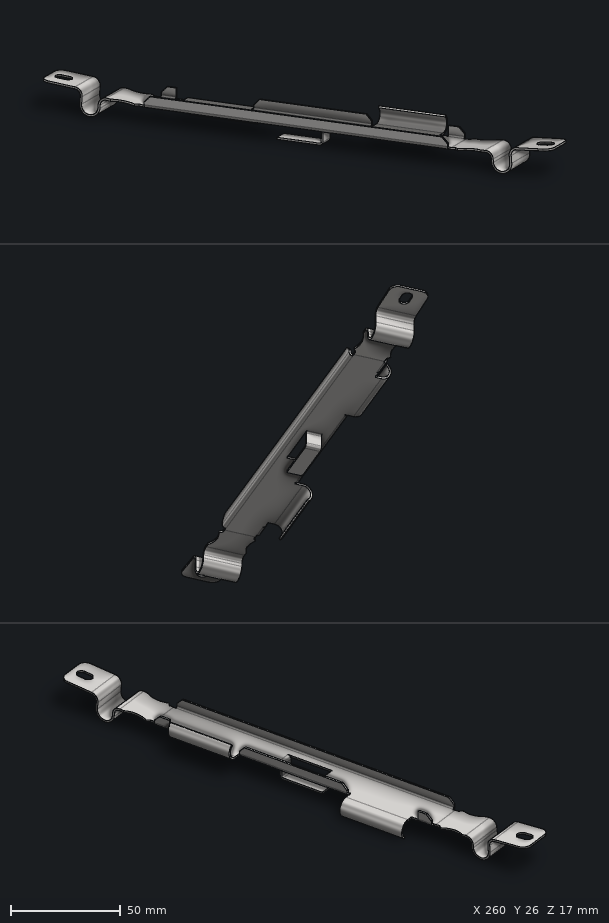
import cadquery as cq
import math

length = 260.0
depth = 26.0
height = 17.0
width = 19.0
sheet = 1.0
half_width = width / 2
half_sheet = sheet / 2
bend_outer = 1.8
bend_inner = bend_outer - sheet
flat_half_width = half_width - bend_outer

fold_x = 78.5
flange_half_length = 77.2
flange_top = 5.5
flange_chamfer = 2.9

clip_radius = 5.0
clip_reach = depth - width
clip_height = height / 2
up_clip = (30.7, 64.7)
down_clip = (-65.5, -31.0)
relief = 4.2
middle_gap = 0.8
relief_y = 8.5

window_left = -12.5
window_right = 12.0
window_width = 7.5
tab_bottom = -clip_height

arm_tilt = 4.5
arm_step = 2.0
inner_pad_length = 18.0
arm_bend = 3.5
trough_radius = 4.7
trough_center_z = -5.0
tip_corner = 4.2
slot_length = 8.3
slot_width = 5.0
slot_x = 123.0
neck_start = (3.6, 9.0)
neck_middle = (11.0, 7.8)
neck_end = (15.9, half_width)
notch_length = 2.0


def box(x_range, y_range, z_range):
    size = [high - low for low, high in (x_range, y_range, z_range)]
    return cq.Workplane("XY").box(*size, centered=False).translate((x_range[0], y_range[0], z_range[0]))


def edge_flange(x_start, x_end, chamfer_start, chamfer_end):
    """Upturned flange along the +Y edge; its ends may slope back to the top."""
    profile = (
        cq.Workplane("YZ")
        .moveTo(flat_half_width, -half_sheet)
        .radiusArc((half_width, bend_outer - half_sheet), -bend_outer)
        .lineTo(half_width, flange_top)
        .lineTo(half_width - sheet, flange_top)
        .lineTo(half_width - sheet, bend_outer - half_sheet)
        .radiusArc((flat_half_width, half_sheet), bend_inner)
        .close()
        .extrude(x_end - x_start)
        .translate((x_start, 0, 0))
    )
    slope_bottom = flange_top - flange_chamfer
    outline = (
        cq.Workplane("XZ")
        .moveTo(x_start, -half_sheet)
        .lineTo(x_end, -half_sheet)
        .lineTo(x_end, slope_bottom)
        .lineTo(x_end - chamfer_end, flange_top)
        .lineTo(x_start + chamfer_start, flange_top)
        .lineTo(x_start, slope_bottom)
        .close()
        .extrude(width, both=True)
    )
    return profile.intersect(outline)


def curled_clip(x_start, x_end):
    """Clip that leaves the rear edge flat and curls upward around a circle."""
    center_y = half_width + clip_reach - clip_radius
    center_z = clip_radius - half_sheet
    inner_radius = clip_radius - sheet
    tip_angle = math.degrees(math.asin((clip_height - center_z) / clip_radius))

    def on_curl(radius, degrees):
        angle = math.radians(degrees)
        return center_y + radius * math.cos(angle), center_z + radius * math.sin(angle)

    return (
        cq.Workplane("YZ")
        .moveTo(0, -half_sheet)
        .lineTo(center_y, -half_sheet)
        .threePointArc(on_curl(clip_radius, 0), on_curl(clip_radius, tip_angle))
        .lineTo(*on_curl(inner_radius, tip_angle))
        .threePointArc(on_curl(inner_radius, 0), on_curl(inner_radius, -90))
        .lineTo(0, half_sheet)
        .close()
        .extrude(x_end - x_start)
        .translate((x_start, 0, 0))
    )


def window_tab():
    """Tab bent down at the right end of the window, then back under it."""
    wall_right = window_right - bend_inner
    wall_left = wall_right - sheet
    top_bend_z = half_sheet - bend_outer
    bottom_bend_z = tab_bottom + bend_outer
    return (
        cq.Workplane("XZ")
        .moveTo(window_right + sheet, half_sheet)
        .lineTo(wall_left + bend_outer, half_sheet)
        .radiusArc((wall_left, top_bend_z), -bend_outer)
        .lineTo(wall_left, bottom_bend_z)
        .radiusArc((wall_left - bend_inner, tab_bottom + sheet), bend_inner)
        .lineTo(window_left, tab_bottom + sheet)
        .lineTo(window_left, tab_bottom)
        .lineTo(wall_right - bend_outer, tab_bottom)
        .radiusArc((wall_right, bottom_bend_z), -bend_outer)
        .lineTo(wall_right, top_bend_z)
        .radiusArc((window_right, -half_sheet), bend_inner)
        .lineTo(window_right + sheet, -half_sheet)
        .close()
        .extrude(window_width / 2, both=True)
    )


def arm_strip(reach):
    """Full-width bent strip: inner pad, U-shaped trough, raised outer pad."""
    near_wall = inner_pad_length + arm_bend
    trough_x = near_wall + trough_radius
    far_wall = trough_x + trough_radius
    diagonal = arm_bend * math.cos(math.radians(45))
    far_bend_x = far_wall + arm_bend
    far_bend_z = arm_step - arm_bend
    return (
        cq.Workplane("XZ")
        .moveTo(0, 0)
        .lineTo(inner_pad_length, 0)
        .threePointArc((inner_pad_length + diagonal, diagonal - arm_bend), (near_wall, -arm_bend))
        .lineTo(near_wall, trough_center_z)
        .threePointArc((trough_x, trough_center_z - trough_radius), (far_wall, trough_center_z))
        .lineTo(far_wall, far_bend_z)
        .threePointArc((far_bend_x - diagonal, far_bend_z + diagonal), (far_bend_x, arm_step))
        .lineTo(reach + sheet, arm_step)
        .offset2D(half_sheet)
        .extrude(half_width, both=True)
    )


def arm_outline(reach):
    """Plan shape of the arm: notch at the fold, waisted neck, rounded tip."""
    upper_edge = (
        cq.Workplane("XY")
        .moveTo(-sheet, 0)
        .lineTo(-sheet, flat_half_width)
        .lineTo(notch_length, flat_half_width)
        .lineTo(*neck_start)
        .threePointArc(neck_middle, neck_end)
        .lineTo(reach - tip_corner, half_width)
        .radiusArc((reach, half_width - tip_corner), tip_corner)
        .lineTo(reach, 0)
        .close()
        .extrude(length, both=True)
    )
    return upper_edge.union(upper_edge.mirror("XZ"))


def right_arm():
    tilt = math.radians(arm_tilt)
    tip_drop = (arm_step - half_sheet) * math.sin(tilt)
    reach = (length / 2 - fold_x + tip_drop) / math.cos(tilt)
    slot = (
        cq.Workplane("XY")
        .center(slot_x - fold_x, 0)
        .slot2D(slot_length, slot_width)
        .extrude(length, both=True)
    )
    arm = arm_strip(reach).intersect(arm_outline(reach)).cut(slot)
    return arm.rotate((0, 0, 0), (0, 1, 0), -arm_tilt).translate((fold_x, 0, 0))


sheet_z = (-half_sheet, half_sheet)
floor = box((-fold_x, fold_x), (-flat_half_width, flat_half_width), sheet_z)
window = box((window_left, window_right), (-window_width / 2, window_width / 2), sheet_z)
result = floor.cut(window).union(window_tab())

front_flange = edge_flange(-flange_half_length, flange_half_length, flange_chamfer, flange_chamfer)
result = result.union(front_flange.mirror("XZ"))

left_flange_end = down_clip[0] - relief
right_flange_start = up_clip[1] + relief
result = result.union(edge_flange(-flange_half_length, left_flange_end, flange_chamfer, 0))
result = result.union(
    edge_flange(down_clip[1] + middle_gap, up_clip[0] - middle_gap, flange_chamfer, flange_chamfer)
)
result = result.union(edge_flange(right_flange_start, flange_half_length, 0, flange_chamfer))
for relief_range in ((left_flange_end, down_clip[0]), (up_clip[1], right_flange_start)):
    result = result.union(box(relief_range, (0, relief_y), sheet_z))

result = result.union(curled_clip(*up_clip))
result = result.union(curled_clip(*down_clip).mirror("XY"))

arm = right_arm()
result = result.union(arm).union(arm.mirror("YZ"))